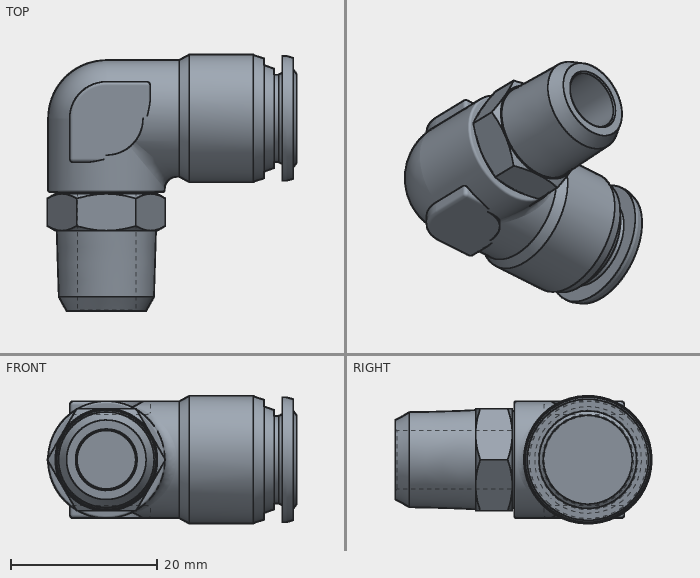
import cadquery as cq
import math


overall_length = 35.05
socket_diameter = 17.5

elbow_radius = 8.0
elbow_end = 10.05
elbow_end_round = 0.3
crotch_round = 1.6

pad_radius = 5.0
pad_reach = 6.0
pad_edge_round = 0.5

socket_radius = socket_diameter / 2
socket_cone_start = 9.95
socket_start = 11.35
socket_end = 20.05
rim_start = 20.33
rim_start_radius = 8.6
rim_end = 21.55
rim_end_radius = 8.2
collar_start_radius = 7.3
collar_end = 22.92
collar_end_radius = 6.8

neck_radius = 6.0
neck_end = 23.52
flange_start = 24.0
flange_root_radius = 6.25
flange_radius = 8.55
flange_taper_start = 24.57
flange_end = 25.55
flange_end_radius = 8.27
lip_root_radius = 6.65
lip_end = 26.0
lip_end_radius = 6.05

hex_sides = 6
hex_flats = 14.0
hex_start = 10.3
hex_end = 15.3
hex_chamfer_angle = 30
stud_neck_radius = 6.65
thread_start_radius = 6.8
thread_end = 24.35
thread_end_radius = 6.52
stud_end = overall_length - socket_radius
stud_end_radius = 5.45

bore_radius = 4.0
bore_chamfer = 0.2


def revolve_about_x(profile):
    """Solid of revolution about X from (x, radius) points."""
    points = [(profile[0][0], 0), *profile, (profile[-1][0], 0)]
    return cq.Workplane("XY").polyline(points).close().revolve(360, (0, 0, 0), (1, 0, 0))


def revolve_about_stud_axis(profile):
    """Solid of revolution about Y from (distance along -Y, radius) points."""
    outline = [(radius, -distance) for distance, radius in profile]
    points = [(0, outline[0][1]), *outline, (0, outline[-1][1])]
    return cq.Workplane("XY").polyline(points).close().revolve(360, (0, 0, 0), (0, 1, 0))


def box_around(center, half_size):
    """Selector for edges whose centre lies within a cube around a point."""
    return cq.selectors.BoxSelector(
        tuple(c - half_size for c in center),
        tuple(c + half_size for c in center),
    )


def make_pad_block():
    """Upright block through the elbow whose top and bottom ends form the wrench pads."""
    height = 2 * elbow_radius
    base = cq.Workplane("XY", origin=(0, 0, -elbow_radius))
    diagonal = pad_radius * math.sqrt(0.5)
    block = (
        base.moveTo(-pad_radius, 0)
        .threePointArc((-diagonal, diagonal), (0, pad_radius))
        .lineTo(pad_reach, pad_radius)
        .lineTo(pad_reach, -pad_reach)
        .lineTo(-pad_radius, -pad_reach)
        .close()
        .extrude(height)
    )
    socket_corner = box_around((pad_reach, pad_radius, 0), pad_edge_round)
    stud_corner = box_around((-pad_radius, -pad_reach, 0), pad_edge_round)
    block = block.edges(socket_corner + stud_corner).fillet(pad_edge_round)
    block = block.faces("|Z").edges().fillet(pad_edge_round)

    quadrant = base.rect(pad_reach, -pad_reach, centered=False).extrude(height)
    inner_quarter = base.circle(pad_radius).extrude(height).intersect(quadrant)
    return block.cut(quadrant).union(inner_quarter)


def make_elbow():
    """Two round limbs meeting in a ball corner, with pads and a rounded crotch."""
    socket_limb = revolve_about_x([(0, elbow_radius), (socket_cone_start, elbow_radius)])
    stud_limb = revolve_about_stud_axis([(0, elbow_radius), (elbow_end, elbow_radius)])
    stud_limb = stud_limb.faces("<Y").edges().fillet(elbow_end_round)
    ball = cq.Workplane("XY").sphere(elbow_radius)
    elbow = socket_limb.union(stud_limb).union(ball).union(make_pad_block())

    mitre_middle = (pad_radius * math.sqrt(0.5) + elbow_radius) / 2
    mitre_edges = box_around((mitre_middle, -mitre_middle, 0), pad_radius)
    return elbow.edges(mitre_edges).edges("%ELLIPSE").fillet(crotch_round)


def make_socket():
    """Socket sleeve, end collar and release ring along +X."""
    return revolve_about_x([
        (socket_cone_start, elbow_radius),
        (socket_start, socket_radius),
        (socket_end, socket_radius),
        (rim_start, rim_start_radius),
        (rim_end, rim_end_radius),
        (rim_end, collar_start_radius),
        (collar_end, collar_end_radius),
        (collar_end, neck_radius),
        (neck_end, neck_radius),
        (flange_start, flange_root_radius),
        (flange_start, flange_radius),
        (flange_taper_start, flange_radius),
        (flange_end, flange_end_radius),
        (flange_end, lip_root_radius),
        (lip_end, lip_end_radius),
    ])


def make_hexagon():
    """Wrench hexagon with corners on +X and -X, chamfered at both ends."""
    face_radius = hex_flats / 2
    corner_radius = face_radius / math.cos(math.pi / hex_sides)
    chamfer_length = (corner_radius - face_radius) * math.tan(math.radians(hex_chamfer_angle))
    prism = (
        cq.Workplane("XZ", origin=(0, -hex_start, 0))
        .polygon(hex_sides, 2 * corner_radius)
        .extrude(hex_end - hex_start)
    )
    chamfer_envelope = revolve_about_stud_axis([
        (hex_start, face_radius),
        (hex_start + chamfer_length, corner_radius),
        (hex_end - chamfer_length, corner_radius),
        (hex_end, face_radius),
    ])
    return prism.intersect(chamfer_envelope)


def make_stud():
    """Neck and tapered thread blank along -Y."""
    neck = revolve_about_stud_axis([(elbow_end, stud_neck_radius), (hex_start, stud_neck_radius)])
    thread = revolve_about_stud_axis([
        (hex_end, thread_start_radius),
        (thread_end, thread_end_radius),
        (stud_end, stud_end_radius),
    ])
    return neck.union(make_hexagon()).union(thread)


def make_bore():
    """Blind bore of the stud, ending where the stud meets the elbow."""
    return revolve_about_stud_axis([
        (elbow_end, bore_radius),
        (stud_end - bore_chamfer, bore_radius),
        (stud_end, bore_radius + bore_chamfer),
    ])


result = make_elbow().union(make_socket()).union(make_stud()).cut(make_bore())